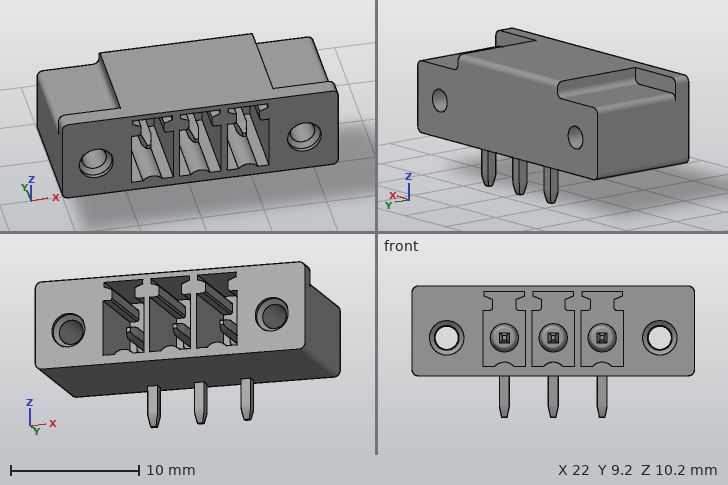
import cadquery as cq
import math

length = 22.02
depth = 9.2
height = 7.02
flange_thickness = 1.32
shoulder_height = 5.77
block_half_width = 6.08
edge_radius = 0.5

pitch = 3.8
contact_xs = [-pitch, 0.0, pitch]
axis_height = 2.97
pocket_depth = 7.0
pocket_floor = 0.73
pocket_ledge = 5.1
pocket_ceiling = 6.58
pocket_width = 3.33
neck_width = 1.85
neck_chamfer = 0.13
neck_top = 5.97
keyway_width = 3.15
keyway_side_bottom = 6.23
rib_width = 1.55
rib_height = 0.35

collar_base_radius = 1.1
collar_top_radius = 0.85
collar_height = 0.8
collar_fillet = 0.2

mount_x = 8.3
bore_radius = 0.97
rear_bore_radius = 0.9
rear_bore_length = depth - pocket_depth
recess_radius = 1.35
recess_depth = 0.35

pin_size = 0.8
pin_front = 1.3
pin_leg_y = 7.97
pin_bottom = -3.21
tip_thickness = 0.33
curved_taper_length = 1.12
leg_tip_width = 0.45
leg_taper_length = 0.85
contact_tip_width = 0.3
contact_taper_length = curved_taper_length


def rounded_box(top, box_depth):
    """Full-length box from the front face back, with its edges along Y rounded."""
    return (
        cq.Workplane("XZ")
        .center(0, top / 2)
        .rect(length, top)
        .extrude(-box_depth)
        .edges("|Y")
        .fillet(edge_radius)
    )


def raised_block():
    """Taller middle part, flared into the shoulders and rounded along its rear top edge."""
    flare_half_width = block_half_width + edge_radius
    flare_top = shoulder_height + edge_radius
    corner = edge_radius * (1 - math.sqrt(0.5))
    flare_mid = (block_half_width + corner, shoulder_height + corner)
    block = (
        cq.Workplane("XZ")
        .moveTo(-block_half_width, height)
        .lineTo(block_half_width, height)
        .lineTo(block_half_width, flare_top)
        .threePointArc(flare_mid, (flare_half_width, shoulder_height))
        .lineTo(flare_half_width, 0)
        .lineTo(-flare_half_width, 0)
        .lineTo(-flare_half_width, shoulder_height)
        .threePointArc((-flare_mid[0], flare_mid[1]), (-block_half_width, flare_top))
        .close()
        .extrude(-depth)
    )
    return block.faces(">Z").edges(">Y").fillet(edge_radius)


def pocket(x):
    """Keyed plug opening with a rounded rib along its floor."""
    half = pocket_width / 2
    neck = neck_width / 2
    key = keyway_width / 2
    rib = rib_width / 2
    return (
        cq.Workplane("XZ")
        .center(x, 0)
        .moveTo(-half, pocket_floor)
        .lineTo(-rib, pocket_floor)
        .threePointArc((0, pocket_floor + rib_height), (rib, pocket_floor))
        .lineTo(half, pocket_floor)
        .lineTo(half, pocket_ledge)
        .lineTo(neck + neck_chamfer, pocket_ledge)
        .lineTo(neck, pocket_ledge + neck_chamfer)
        .lineTo(neck, neck_top)
        .lineTo(key, keyway_side_bottom)
        .lineTo(key, pocket_ceiling)
        .lineTo(-key, pocket_ceiling)
        .lineTo(-key, keyway_side_bottom)
        .lineTo(-neck, neck_top)
        .lineTo(-neck, pocket_ledge + neck_chamfer)
        .lineTo(-neck - neck_chamfer, pocket_ledge)
        .lineTo(-half, pocket_ledge)
        .close()
        .extrude(-pocket_depth)
    )


def collar(x):
    """Tapered collar with a rounded rim, pointing forward from the pocket's back wall."""
    cone = cq.Solid.makeCone(
        collar_base_radius,
        collar_top_radius,
        collar_height,
        cq.Vector(x, pocket_depth, axis_height),
        cq.Vector(0, -1, 0),
    )
    return cq.Workplane(cone).faces("<Y").edges().fillet(collar_fillet)


def mounting_hole(x):
    """Through hole: a recess, a 45 degree cone, the main bore and a slightly narrower rear bore."""
    cone_end = recess_depth + recess_radius - bore_radius
    rear_bore_start = depth - rear_bore_length
    return (
        cq.Workplane("XY")
        .moveTo(0, 0)
        .lineTo(recess_radius, 0)
        .lineTo(recess_radius, recess_depth)
        .lineTo(bore_radius, cone_end)
        .lineTo(bore_radius, rear_bore_start)
        .lineTo(rear_bore_radius, rear_bore_start)
        .lineTo(rear_bore_radius, depth)
        .lineTo(0, depth)
        .close()
        .revolve(360, (0, 0), (0, 1))
        .translate((x, 0, axis_height))
    )


def tapered_bar(bar_length, tip_width, flat_taper_length):
    """Bar standing on its tip at Z = 0, with flat tapers across X and curved tapers across Y."""
    half = pin_size / 2
    flat_taper = (
        cq.Workplane("XZ")
        .moveTo(-tip_width / 2, 0)
        .lineTo(tip_width / 2, 0)
        .lineTo(half, flat_taper_length)
        .lineTo(half, bar_length)
        .lineTo(-half, bar_length)
        .lineTo(-half, flat_taper_length)
        .close()
        .extrude(half, both=True)
    )
    curved_half = (
        cq.Workplane("YZ")
        .lineTo(0, bar_length)
        .lineTo(half, bar_length)
        .lineTo(half, curved_taper_length)
        .tangentArcPoint((tip_thickness / 2, 0), relative=False)
        .close()
        .extrude(half, both=True)
    )
    curved_taper = curved_half.union(curved_half.mirror("XZ"))
    return flat_taper.intersect(curved_taper)


def make_pin(x):
    """One contact: a forward contact bar and a downward solder leg."""
    pin_top = axis_height + pin_size / 2
    pin_rear = pin_leg_y + pin_size / 2
    leg = tapered_bar(pin_top - pin_bottom, leg_tip_width, leg_taper_length)
    leg = leg.translate((0, pin_leg_y, pin_bottom))
    contact = tapered_bar(pin_rear - pin_front, contact_tip_width, contact_taper_length)
    contact = contact.rotate((0, 0, 0), (1, 0, 0), -90)
    contact = contact.translate((0, pin_front, axis_height))
    return leg.union(contact).translate((x, 0, 0))


def make_housing(pins):
    """Flanged housing with keyed pockets, collars, mounting holes and seats for the pins."""
    body = rounded_box(shoulder_height, depth)
    body = body.union(rounded_box(height, flange_thickness))
    body = body.union(raised_block())
    for x in contact_xs:
        body = body.cut(pocket(x)).union(collar(x))
    for x in (-mount_x, mount_x):
        body = body.cut(mounting_hole(x))
    for pin in pins:
        body = body.cut(pin)
    return body


pins = [make_pin(x) for x in contact_xs]
housing = make_housing(pins)

result = cq.Compound.makeCompound([housing.val(), *[pin.val() for pin in pins]])